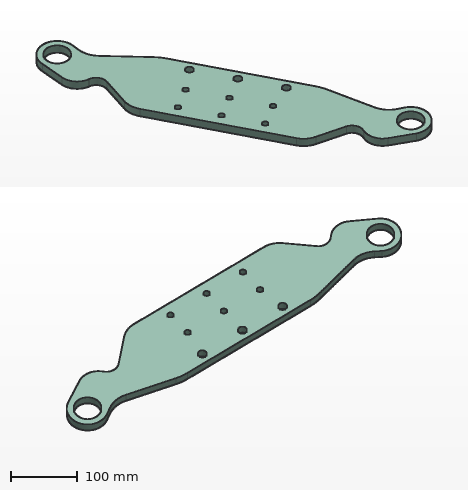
import cadquery as cq
import math

LENGTH = 613.0
WIDTH = 123.0
THICKNESS = 15.0

EYE_RADIUS = 31.0
EYE_BORE = 41.5
EYE_X = LENGTH / 2 - EYE_RADIUS
EYE_Y = 25.0

TOP_SHOULDER_RADIUS = 79.5
TOP_SHOULDER_X = 116.0
VALLEY_RADIUS = 43.0
VALLEY_X = 225.0
VALLEY_Y = 81.0
LOBE_X = 238.0
LOBE_Y = 3.0
NOTCH_RADIUS = 18.5
NOTCH_X = 199.0
NOTCH_Y = -28.0
BOTTOM_SHOULDER_RADIUS = 39.0
BOTTOM_SHOULDER_X = 122.0

HOLE_ROWS = [(46.0, 75.5, 13.5), (0.0, 68.0, 10.0), (-42.0, 68.0, 10.0)]

RIGHT_CIRCLES = [
    (BOTTOM_SHOULDER_X, BOTTOM_SHOULDER_RADIUS - WIDTH / 2, BOTTOM_SHOULDER_RADIUS),
    (NOTCH_X, NOTCH_Y, -NOTCH_RADIUS),
    (LOBE_X, LOBE_Y, EYE_RADIUS),
    (EYE_X, EYE_Y, EYE_RADIUS),
    (VALLEY_X, VALLEY_Y, -VALLEY_RADIUS),
    (TOP_SHOULDER_X, WIDTH / 2 - TOP_SHOULDER_RADIUS, TOP_SHOULDER_RADIUS),
]


def tangent_normal(start, end):
    """Angle of the outward normal of the line tangent to two circles."""
    dx = end[0] - start[0]
    dy = end[1] - start[1]
    offset = math.acos((start[2] - end[2]) / math.hypot(dx, dy))
    return math.atan2(dy, dx) - offset


def point_on(circle, angle):
    x, y, radius = circle
    return (x + radius * math.cos(angle), y + radius * math.sin(angle))


def outline():
    """Closed counterclockwise chain of arcs joined by tangent lines."""
    left_circles = [(-x, y, radius) for x, y, radius in reversed(RIGHT_CIRCLES)]
    circles = RIGHT_CIRCLES + left_circles
    normals = [tangent_normal(circles[i - 1], circles[i]) for i in range(len(circles))]
    path = cq.Workplane("XY").moveTo(*point_on(circles[-1], normals[0]))
    for i, circle in enumerate(circles):
        entry = normals[i]
        leave = normals[(i + 1) % len(circles)]
        turn = math.remainder(leave - entry, math.tau)
        if circle[2] > 0:
            turn %= math.tau
        path = path.lineTo(*point_on(circle, entry))
        path = path.threePointArc(point_on(circle, entry + turn / 2), point_on(circle, leave))
    return path.close()


def through_holes(body, points, diameter):
    cutters = cq.Workplane("XY").pushPoints(points).circle(diameter / 2).extrude(THICKNESS)
    return body.cut(cutters)


result = outline().extrude(THICKNESS)
result = through_holes(result, [(-EYE_X, EYE_Y), (EYE_X, EYE_Y)], EYE_BORE)
for row_y, spacing, diameter in HOLE_ROWS:
    result = through_holes(result, [(-spacing, row_y), (0, row_y), (spacing, row_y)], diameter)